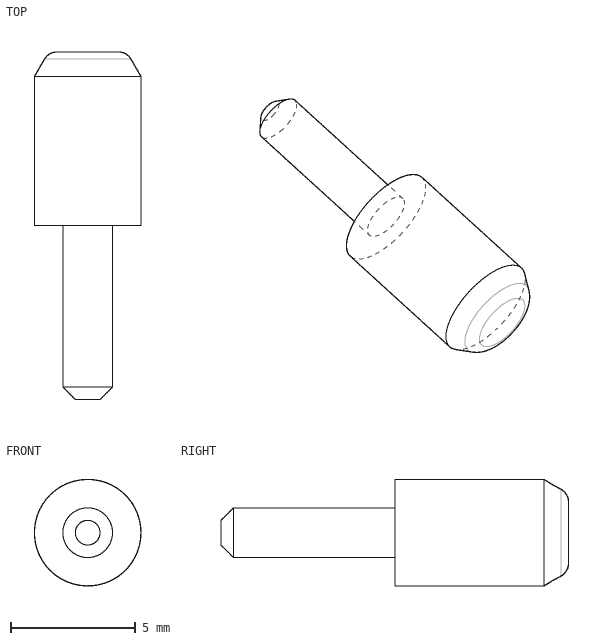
import cadquery as cq
import math

TOTAL_LENGTH = 14.0
HEAD_LENGTH = TOTAL_LENGTH / 2
HEAD_RADIUS = 4.3 / 2
PIN_RADIUS = 2.0 / 2

TAPER_LENGTH = 1.0
TAPER_ANGLE = 30.0
RIM_RADIUS = 0.6

TIP_CHAMFER = 0.5

TIP_Y = -TOTAL_LENGTH / 2
HEAD_END_Y = TOTAL_LENGTH / 2
SHOULDER_Y = HEAD_END_Y - HEAD_LENGTH


def make_head():
    """Cylindrical head: a flat shoulder at one end, a taper with a rounded rim at the other."""
    end_radius = HEAD_RADIUS - TAPER_LENGTH * math.tan(math.radians(TAPER_ANGLE))
    body = (
        cq.Workplane("XY")
        .moveTo(0, SHOULDER_Y)
        .lineTo(HEAD_RADIUS, SHOULDER_Y)
        .lineTo(HEAD_RADIUS, HEAD_END_Y - TAPER_LENGTH)
        .lineTo(end_radius, HEAD_END_Y)
        .lineTo(0, HEAD_END_Y)
        .close()
        .revolve(360, (0, 0, 0), (0, 1, 0))
    )
    return body.faces(">Y").edges().fillet(RIM_RADIUS)


def make_pin():
    """Round pin standing on the shoulder of the head, with a chamfered tip."""
    pin_length = SHOULDER_Y - TIP_Y
    return (
        cq.Workplane("XZ", origin=(0, SHOULDER_Y, 0))
        .circle(PIN_RADIUS)
        .extrude(pin_length)
        .faces("<Y")
        .chamfer(TIP_CHAMFER)
    )


head = make_head()
pin = make_pin()
result = cq.Compound.makeCompound([head.val(), pin.val()])